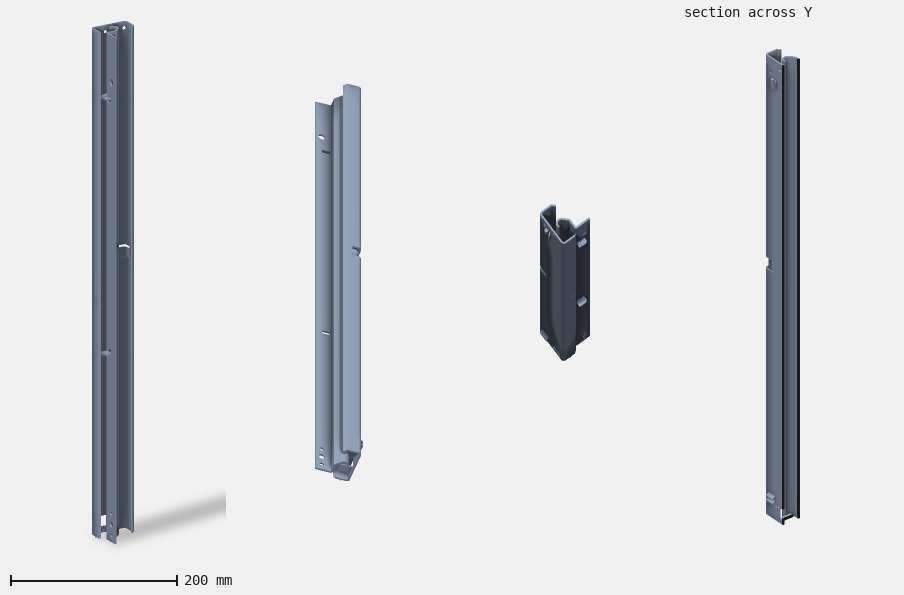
import cadquery as cq
import math

length = 648.8

channel_sheet = 2.3
channel_bottom = 0.9
channel_top = 50.2
channel_bend = 4.4
flange_flat_end = 17.6
flange_tip = 20.8
lip_start = 18.6
lip_travel = 4.2

bracket_sheet = 2.4
arch_centre = (14.6, 23.7)
arch_radius = 6.8
arch_tail = 1.8
leg_outer = 25.9
flange_face = 7.6
flange_end = 45.43
flange_bend = 2.6

overcut = 1.0
mitre = math.tan(math.pi / 8)


def box(x0, x1, y0, y1, z0, z1):
    """Axis-aligned block between two opposite corners."""
    return cq.Workplane("XY").box(x1 - x0, y1 - y0, z1 - z0, centered=False).translate((x0, y0, z0))


def prism_along_x(points, x0, x1):
    """Prism with a (y, z) outline."""
    return cq.Workplane("YZ", origin=(x0, 0, 0)).polyline(points).close().extrude(x1 - x0)


def prism_along_y(points, y0, y1):
    """Prism with an (x, z) outline."""
    return cq.Workplane("XZ", origin=(0, y0, 0)).polyline(points).close().extrude(y0 - y1)


def prism_along_z(points, z0, z1):
    """Prism with an (x, y) outline."""
    return cq.Workplane("XY", origin=(0, 0, z0)).polyline(points).close().extrude(z1 - z0)


def polar(centre, radius, degrees):
    """Point on a circle."""
    angle = math.radians(degrees)
    return (centre[0] + radius * math.cos(angle), centre[1] + radius * math.sin(angle))


def channel_bar():
    """C-shaped sheet with a slanted lip on the top flange and a slanted tip on the bottom flange."""
    inner_bend = channel_bend - channel_sheet
    low = (channel_bend, channel_bottom + channel_bend)
    high = (channel_bend, channel_top - channel_bend)
    bottom_inside = channel_bottom + channel_sheet
    top_inside = channel_top - channel_sheet
    lip_inset = channel_sheet / math.sqrt(2)
    lip_tip = (lip_start + lip_travel, channel_top - lip_travel)
    return (
        cq.Workplane("XY")
        .moveTo(flange_flat_end, channel_bottom)
        .lineTo(channel_bend, channel_bottom)
        .threePointArc(polar(low, channel_bend, 225), (0, low[1]))
        .lineTo(0, high[1])
        .threePointArc(polar(high, channel_bend, 135), (high[0], channel_top))
        .lineTo(lip_start, channel_top)
        .lineTo(*lip_tip)
        .lineTo(lip_tip[0] - lip_inset, lip_tip[1] - lip_inset)
        .lineTo(lip_start - channel_sheet * mitre, top_inside)
        .lineTo(high[0], top_inside)
        .threePointArc(polar(high, inner_bend, 135), (channel_sheet, high[1]))
        .lineTo(channel_sheet, low[1])
        .threePointArc(polar(low, inner_bend, 225), (low[0], bottom_inside))
        .lineTo(flange_tip, bottom_inside)
        .close()
        .extrude(length)
    )


pad_start = 10.8
pad_z = (295.5, 338.5)
plateau_z = (307.5, 325.5)


def flange_pad():
    root = channel_bottom + channel_sheet / 2
    outline = [
        (root, pad_z[0]),
        (channel_bottom, pad_z[0]),
        (0, plateau_z[0]),
        (0, plateau_z[1]),
        (channel_bottom, pad_z[1]),
        (root, pad_z[1]),
    ]
    return prism_along_x(outline, pad_start, flange_flat_end)


tongue_drop = 1.2
corner_tongue_width = 1.0
corner_tongue_y = (2.5, 6.0)
flange_tongue_x = (9.8, 11.6)


def add_tongues(body):
    corner = box(0, corner_tongue_width, *corner_tongue_y, -tongue_drop, channel_bend)
    corner = corner.intersect(channel_bar().translate((0, 0, -tongue_drop)))
    flange_y = (channel_bottom, channel_bottom + channel_sheet)
    on_flange = box(*flange_tongue_x, *flange_y, -tongue_drop, channel_bend)
    return body.union(corner).union(on_flange)


web_hole = 5.0
web_holes = [(20.5, 640.5), (38.2, 629.5), (46.5, 640.5)]


def cut_web_holes(body):
    for y, z in web_holes:
        cutter = cq.Workplane("YZ").center(y, z).circle(web_hole / 2).extrude(2 * channel_sheet, both=True)
        body = body.cut(cutter)
    return body


recess_y = (38.0, 42.0)
recess_z = (613.5, 619.5)
recess_depth = 0.8

window_z = (347.5, 363.5)
window_y = 33.8
window_x = 12.2
bridge_z = (349.2, 361.0)
bridge_inset = 2.3
bridge_root = 1.0
bridge_foot_y = 36.2
bridge_slope_y = 37.4
bridge_bevel_x = 4.0
bridge_bevel_y = 2.4


def add_corner_bridge(body):
    body = body.cut(box(-overcut, window_x, window_y, channel_top + overcut, *window_z))
    inside = bridge_inset + channel_sheet
    top = channel_top - bridge_inset
    strip = [
        (0, window_y),
        (0, bridge_foot_y),
        (bridge_inset, bridge_slope_y),
        (bridge_inset, top - bridge_bevel_y),
        (bridge_inset + bridge_bevel_x, top),
        (window_x + bridge_root, top),
        (window_x + bridge_root, top - channel_sheet),
        (inside, top - channel_sheet),
        (inside, bridge_foot_y - channel_sheet / 2),
        (channel_sheet, window_y),
    ]
    root = box(0, channel_sheet, window_y - bridge_root, window_y, *bridge_z)
    return body.union(prism_along_z(strip, *bridge_z)).union(root)


hook_reach = 4.0
hook_z = (609.6, 622.0)
hook_y = (30.5, 35.0)
hook_slope = 1.2
flare_root_y = 29.0
flare_tip_y = 25.2
flare_width = 1.8
louvre_y = (29.6, 42.4)
louvre_tops = [33.4, 27.0]
louvre_slope = 2.6
louvre_height = 4.6


def add_hook(body):
    blunt = [
        (channel_sheet / 2, hook_y[0]),
        (-hook_reach, hook_y[0]),
        (-hook_reach, (hook_y[0] + hook_y[1]) / 2),
        (hook_slope - hook_reach, hook_y[1]),
        (channel_sheet / 2, hook_y[1]),
    ]
    flare = [
        (channel_sheet / 2, flare_root_y),
        (0, flare_root_y),
        (-hook_reach, flare_tip_y),
        (-hook_reach, flare_tip_y - flare_width),
        (0, flare_root_y - flare_width),
        (channel_sheet / 2, flare_root_y - flare_width),
    ]
    for outline in (blunt, flare):
        body = body.union(prism_along_z(outline, *hook_z))
    return body


def add_louvres(body):
    for top in louvre_tops:
        outline = [
            (channel_sheet / 2, top),
            (0, top),
            (-hook_reach, top - louvre_slope),
            (-hook_reach, top - louvre_height),
            (channel_sheet / 2, top - louvre_height),
        ]
        body = body.union(prism_along_y(outline, *louvre_y))
    return body


opening_y = (7.0, 22.5)
opening_z = (3.6, 21.5)
slit_y = 31.0
slit_height = 1.6
stop_y = (9.6, 20.0)
stop_top = 8.0
stop_reach = 16.2
stop_bend = 2.0
stop_root = 1.0


def add_stop_tab(body):
    body = body.cut(box(-overcut, channel_sheet + overcut, *opening_y, *opening_z))
    slit_z = (opening_z[1] - slit_height, opening_z[1])
    body = body.cut(box(-overcut, channel_sheet + overcut, opening_y[0], slit_y, *slit_z))
    root = box(0, channel_sheet, *stop_y, opening_z[0] - stop_root, stop_top)
    tab = box(0, stop_reach, *stop_y, stop_top - channel_sheet, stop_top)
    bent = root.union(tab).edges("|Y and <X and >Z").fillet(stop_bend)
    return body.union(bent)


channel = channel_bar().union(flange_pad())
channel = add_tongues(channel)
channel = cut_web_holes(channel)
channel = channel.cut(box(-overcut, recess_depth, *recess_y, *recess_z))
channel = add_corner_bridge(channel)
channel = add_hook(channel)
channel = add_louvres(channel)
channel = add_stop_tab(channel)


def bracket_bar():
    """Sheet running from the arch down the shoulder and the leg into the flange."""
    arch_inner = arch_radius - bracket_sheet
    leg_inner = leg_outer - bracket_sheet
    shoulder = polar(arch_centre, arch_radius, 45)
    knee_y = shoulder[1] - (leg_outer - shoulder[0])
    tail_y = arch_centre[1] - arch_tail
    bend = (leg_inner + flange_bend, flange_face + flange_bend)
    return (
        cq.Workplane("XY")
        .moveTo(arch_centre[0] - arch_radius, tail_y)
        .lineTo(arch_centre[0] - arch_radius, arch_centre[1])
        .threePointArc(polar(arch_centre, arch_radius, 112.5), shoulder)
        .lineTo(leg_outer, knee_y)
        .lineTo(leg_outer, bend[1])
        .threePointArc(polar(bend, flange_bend - bracket_sheet, 225), (bend[0], flange_face + bracket_sheet))
        .lineTo(flange_end, flange_face + bracket_sheet)
        .lineTo(flange_end, flange_face)
        .lineTo(bend[0], flange_face)
        .threePointArc(polar(bend, flange_bend, 225), (leg_inner, bend[1]))
        .lineTo(leg_inner, knee_y - bracket_sheet * mitre)
        .lineTo(*polar(arch_centre, arch_inner, 45))
        .threePointArc(polar(arch_centre, arch_inner, 112.5), (arch_centre[0] - arch_inner, arch_centre[1]))
        .lineTo(arch_centre[0] - arch_inner, tail_y)
        .close()
        .extrude(length)
    )


screw_x = 37.3
screw_holes = [(588.8, 8.4), (22.6, 7.6), (36.0, 5.0), (9.0, 5.0)]


def cut_screw_holes(body):
    for z, diameter in screw_holes:
        cutter = cq.Workplane("XZ").center(screw_x, z).circle(diameter / 2).extrude(-flange_end)
        body = body.cut(cutter)
    return body


lance_x = (26.6, 37.0)
lance_height = 4.8
lances = [(564.0, 1), (243.8, -1)]
tab_tip_y = 0.6
tab_x = (24.8, 37.0)
tab_thickness = 2.0
tab_chamfer = 2.2
gusset_x = (25.6, 29.6)
gusset_height = 3.0
gusset_tip_height = 1.4


def add_lances(body):
    for centre, side in lances:
        low, high = centre - lance_height / 2, centre + lance_height / 2
        body = body.cut(box(*lance_x, 0, flange_face + 2 * bracket_sheet, low, high))
        inner = centre + side * lance_height / 2
        outer = inner + side * tab_thickness
        root = flange_face + bracket_sheet / 2
        tab = box(*tab_x, tab_tip_y, root, min(inner, outer), max(inner, outer))
        tab = tab.edges("|Z and >X and <Y").chamfer(tab_chamfer)
        gusset = [
            (root, inner),
            (tab_tip_y, inner),
            (tab_tip_y, outer + side * gusset_tip_height),
            (flange_face, outer + side * gusset_height),
            (root, outer + side * gusset_height),
        ]
        body = body.union(tab).union(prism_along_x(gusset, *gusset_x))
    return body


bracket = add_lances(cut_screw_holes(bracket_bar()))

result = cq.Compound.makeCompound([*channel.solids().vals(), *bracket.solids().vals()])